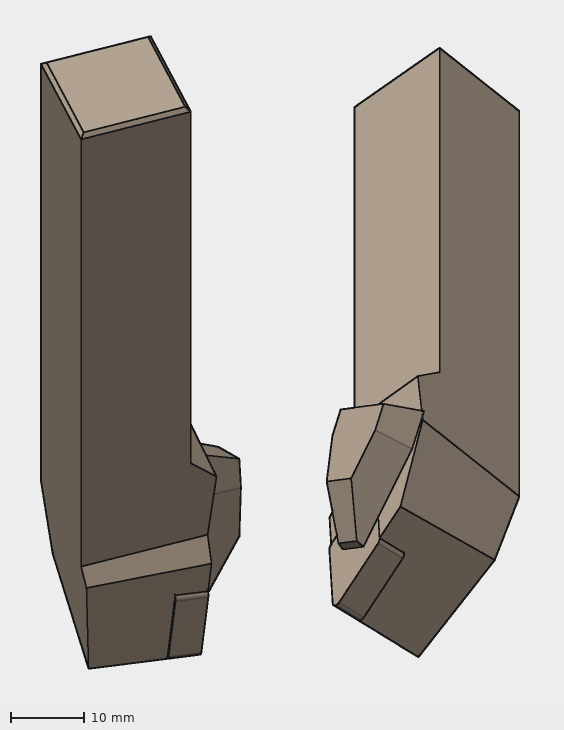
import cadquery as cq
import math


shank_size = 16.0
tool_length = 100.0
end_chamfer = 0.6

flank_start_z = 20.5
flank_angle = 26.0
shoulder_start_z = 18.7
ramp_start_z = 33.0
head_x_limit = 24.0
head_y_limit = 24.0
head_z_limit = -6.0

nose_x = 20.0
nose_y = 16.12
back_rake = 7.0
side_rake = 2.4

insert_angle = 55.0
inscribed_circle = 9.525
insert_thickness = 4.76
nose_radius = 0.8
lead_angle = 3.0
insert_overhang = 0.4

clamp_half_width = 6.1
clamp_back = 30.05
clamp_taper_start = 24.3
clamp_front = 9.7
clamp_nose_taper = 15.0
clamp_height = 5.8
clamp_draft = 15.0
bevel_start_height = 1.0
bevel_top = 17.3

wedge_length = 60.0
wedge_depth = 60.0

half_angle = math.radians(insert_angle / 2)

bisector_turn = math.radians(lead_angle + insert_angle / 2)
seat_normal = cq.Vector(
    math.tan(math.radians(side_rake)), 1, -math.tan(math.radians(back_rake))
).normalized()
level_x = (cq.Vector(1, 0, 0) - seat_normal * seat_normal.x).normalized()
level_up = level_x.cross(seat_normal)
backward = level_up * math.cos(bisector_turn) - level_x * math.sin(bisector_turn)
nose_center = cq.Vector(nose_x - nose_radius, nose_y, nose_radius)
sharp_corner = nose_center - backward * (nose_radius / math.sin(half_angle))
seat = cq.Plane(origin=sharp_corner, xDir=backward.cross(seat_normal), normal=seat_normal)


def make_insert():
    """55 degree rhombic insert with rounded corners, sunk below the seat plane."""
    edge = inscribed_circle / math.sin(2 * half_angle)
    half_short = edge * math.sin(half_angle)
    half_long = edge * math.cos(half_angle)
    outline = [(0, 0), (half_short, half_long), (0, 2 * half_long), (-half_short, half_long)]
    blank = cq.Workplane(seat).polyline(outline).close().extrude(-insert_thickness)
    return blank.edges(cq.selectors.ParallelDirSelector(seat_normal)).fillet(nose_radius)


def make_shank():
    """Square bar above the -X flank, chamfered around its end."""
    length = tool_length - flank_start_z
    base = cq.Workplane("XY", origin=(0, 0, flank_start_z))
    bar = base.rect(shank_size, shank_size).extrude(length)
    return bar.translate((shank_size / 2, shank_size / 2, 0)).faces(">Z").chamfer(end_chamfer)


def make_head_blank():
    """Head before trimming, widened toward +X and +Y by 45 degree slopes."""
    flank_foot_x = (flank_start_z - head_z_limit) * math.tan(math.radians(flank_angle))
    side_outline = [
        (0, ramp_start_z),
        (shank_size, ramp_start_z),
        (shank_size, shoulder_start_z),
        (head_x_limit, shoulder_start_z - (head_x_limit - shank_size)),
        (head_x_limit, head_z_limit),
        (flank_foot_x, head_z_limit),
        (0, flank_start_z),
    ]
    back_outline = [
        (0, ramp_start_z),
        (shank_size, ramp_start_z),
        (head_y_limit, ramp_start_z - (head_y_limit - shank_size)),
        (head_y_limit, head_z_limit),
        (0, head_z_limit),
    ]
    side_profile = cq.Workplane("XZ").polyline(side_outline).close().extrude(-head_y_limit)
    back_profile = cq.Workplane("YZ").polyline(back_outline).close().extrude(head_x_limit)
    return side_profile.intersect(back_profile)


def make_seat_wedge():
    """Everything under the seat plane and between the two relief faces that follow the insert."""
    wedge_tip = insert_overhang / math.sin(half_angle)
    wedge_half_width = wedge_length * math.tan(half_angle)
    outline = [
        (0, wedge_tip),
        (wedge_half_width, wedge_tip + wedge_length),
        (-wedge_half_width, wedge_tip + wedge_length),
    ]
    return cq.Workplane(seat).polyline(outline).close().extrude(-wedge_depth)


def make_clamp():
    """Tapered, drafted clamp on the seat plane, beveled down toward the insert nose."""
    nose_half_width = clamp_half_width - (clamp_taper_start - clamp_front) * math.tan(
        math.radians(clamp_nose_taper)
    )
    outline = [
        (-clamp_half_width, clamp_back),
        (-clamp_half_width, clamp_taper_start),
        (-nose_half_width, clamp_front),
        (nose_half_width, clamp_front),
        (clamp_half_width, clamp_taper_start),
        (clamp_half_width, clamp_back),
    ]
    block = cq.Workplane(seat).polyline(outline).close().extrude(clamp_height, taper=clamp_draft)
    bevel_section = cq.Plane(origin=sharp_corner, xDir=backward, normal=backward.cross(seat_normal))
    bevel = (
        cq.Workplane(bevel_section)
        .polyline([
            (clamp_front, bevel_start_height),
            (bevel_top, clamp_height),
            (clamp_front, clamp_height),
        ])
        .close()
        .extrude(clamp_half_width, both=True)
    )
    return block.cut(bevel)


def make_holder(insert):
    """Shank, head and clamp in one piece, with a pocket that matches the insert."""
    head = make_head_blank().intersect(make_seat_wedge())
    return make_shank().union(head).union(make_clamp()).clean().cut(insert)


insert = make_insert()
holder = make_holder(insert)
result = cq.Compound.makeCompound([holder.val(), insert.val()])